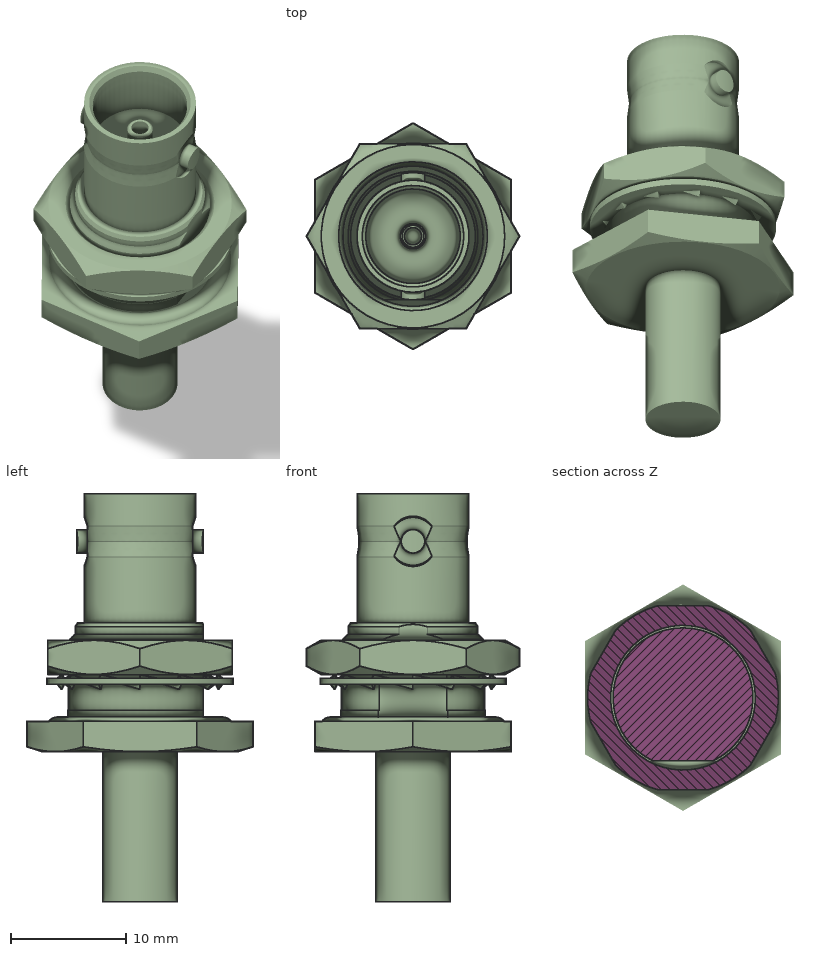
import cadquery as cq
import math

overall_height = 35.4
hex_bottom = 13.0
hex_top = 15.65
seal_ring_top = 16.03
shoulder_top = 16.6
collar_bottom = 23.2
collar_top = 24.18

tube_radius = 3.25
shoulder_radius = 6.27
thread_radius = 6.22
collar_radius = 5.63
barrel_radius = 4.85
thread_flat_offset = 5.49
collar_chamfer_width = 0.22
collar_chamfer_height = 0.33

flange_across_corners = 19.63
flange_chamfer_radius = 8.4
flange_chamfer_angle = 17.5
seal_ring_radius = 7.15
seal_section_radius = 0.93

pin_height = 31.26
pin_radius = 1.02
pin_span = 11.0
groove_half_width = 1.33
groove_depth = 0.17
spot_face_radius = 2.08
spot_face_wall_angle = 20.0
spot_face_offset = 4.56

bore_radius = 4.1
bore_depth = 5.1
bore_chamfer_width = 0.3
bore_chamfer_height = 0.42
contact_radius = 1.1
contact_hole_radius = 0.75
contact_height = 1.95
contact_chamfer = 0.15

nut_across_corners = 18.48
nut_bottom = 19.7
nut_height = 3.0
nut_chamfer_radius = 7.95
nut_chamfer_angle = 30.0
nut_bore_radius = 6.08
nut_bore_chamfer = 0.37

washer_bottom = 18.85
washer_thickness = 0.55
washer_radius = 8.07
washer_bore_radius = 6.4
tooth_count = 12
tooth_peak_radius = 6.8
tooth_inner_radius = 6.55
tooth_outer_radius = 7.15
tooth_sweep_angle = 12.5
tooth_drop = 0.43
tooth_rise = 0.28


def disc(radius, bottom, top):
    """Upright cylinder on the Z axis."""
    return cq.Workplane("XY").workplane(offset=bottom).circle(radius).extrude(top - bottom)


def revolved(profile):
    """Solid of revolution about Z from (radius, height) points."""
    return cq.Workplane("XZ").polyline(profile).close().revolve(360, (0, 0, 0), (0, 1, 0))


def hexagon(across_corners, bottom, height):
    """Hexagonal prism with two corners on the X axis."""
    return cq.Workplane("XY").workplane(offset=bottom).polygon(6, across_corners).extrude(height)


def corner_drop(across_corners, chamfer_radius, chamfer_angle):
    """Height lost at a hexagon corner when its end is chamfered as a cone."""
    return (across_corners / 2 - chamfer_radius) * math.tan(math.radians(chamfer_angle))


def make_flange():
    """Hexagonal flange with chamfered lower corners and a half-sunk seal ring on top."""
    corner = flange_across_corners / 2
    drop = corner_drop(flange_across_corners, flange_chamfer_radius, flange_chamfer_angle)
    envelope = revolved([
        (0, hex_bottom),
        (flange_chamfer_radius, hex_bottom),
        (corner, hex_bottom + drop),
        (corner, hex_top),
        (0, hex_top),
    ])
    prism = hexagon(flange_across_corners, hex_bottom, hex_top - hex_bottom)
    flange = prism.rotate((0, 0, 0), (0, 0, 1), 90).intersect(envelope)
    seal_ring = (
        cq.Workplane("XZ")
        .center(seal_ring_radius, seal_ring_top - seal_section_radius)
        .circle(seal_section_radius)
        .revolve(360, (-seal_ring_radius, 0, 0), (-seal_ring_radius, 1, 0))
    )
    return flange.union(seal_ring)


def make_threaded_neck():
    """Stepped neck that fills the nut bore, with a flat along its -Y side."""
    lead_in = nut_bore_radius - collar_radius
    neck = revolved([
        (0, hex_top),
        (shoulder_radius, hex_top),
        (shoulder_radius, shoulder_top),
        (thread_radius, shoulder_top),
        (thread_radius, nut_bottom),
        (nut_bore_radius, nut_bottom),
        (nut_bore_radius, collar_bottom - lead_in),
        (collar_radius, collar_bottom),
        (collar_radius, collar_top - collar_chamfer_height),
        (collar_radius - collar_chamfer_width, collar_top),
        (0, collar_top),
    ])
    flat_cutter = (
        cq.Workplane("XY")
        .workplane(offset=hex_top)
        .center(0, -thread_flat_offset - thread_radius / 2)
        .rect(2 * shoulder_radius, thread_radius)
        .extrude(collar_top - hex_top)
    )
    return neck.cut(flat_cutter)


def make_bayonet_pins():
    """Two pins along Y, standing on the spot faces, their ends rounded about the Z axis."""
    rounded_ends = disc(pin_span / 2, pin_height - pin_radius, pin_height + pin_radius)
    pin_rod = cq.Workplane("XZ").center(0, pin_height).circle(pin_radius).extrude(pin_span / 2, both=True)
    spot_face_gap = (
        cq.Workplane("XY")
        .workplane(offset=pin_height)
        .box(2 * barrel_radius, 2 * spot_face_offset, 2 * barrel_radius)
    )
    return pin_rod.intersect(rounded_ends).cut(spot_face_gap)


def make_barrel():
    """Bayonet barrel with a V groove, two spot faces and two cross pins."""
    barrel = revolved([
        (0, collar_top),
        (barrel_radius, collar_top),
        (barrel_radius, pin_height - groove_half_width),
        (barrel_radius - groove_depth, pin_height),
        (barrel_radius, pin_height + groove_half_width),
        (barrel_radius, overall_height),
        (0, overall_height),
    ])
    for side in (-1, 1):
        face_plane = cq.Plane(
            origin=(0, side * spot_face_offset, pin_height), xDir=(1, 0, 0), normal=(0, side, 0)
        )
        spot_face_cutter = (
            cq.Workplane(face_plane)
            .circle(spot_face_radius)
            .extrude(barrel_radius - spot_face_offset, taper=-spot_face_wall_angle)
        )
        barrel = barrel.cut(spot_face_cutter)
    return barrel.union(make_bayonet_pins())


def make_bore():
    """Chamfered blind bore, leaving the hollow centre contact standing on its floor."""
    floor = overall_height - bore_depth
    contact_top = floor + contact_height
    return revolved([
        (contact_radius, floor),
        (bore_radius, floor),
        (bore_radius, overall_height - bore_chamfer_height),
        (bore_radius + bore_chamfer_width, overall_height),
        (0, overall_height),
        (0, floor),
        (contact_hole_radius, floor),
        (contact_hole_radius, contact_top),
        (contact_radius - contact_chamfer, contact_top),
        (contact_radius, contact_top - contact_chamfer),
    ])


def make_connector_body():
    body = disc(tube_radius, 0, hex_bottom)
    for section in (make_flange(), make_threaded_neck(), make_barrel()):
        body = body.union(section)
    return body.cut(make_bore())


def make_nut():
    """Hexagonal nut, chamfered at both ends, on the threaded neck."""
    nut_top = nut_bottom + nut_height
    corner = nut_across_corners / 2
    drop = corner_drop(nut_across_corners, nut_chamfer_radius, nut_chamfer_angle)
    mouth_radius = nut_bore_radius + nut_bore_chamfer
    envelope = revolved([
        (mouth_radius, nut_bottom),
        (nut_chamfer_radius, nut_bottom),
        (corner, nut_bottom + drop),
        (corner, nut_top - drop),
        (nut_chamfer_radius, nut_top),
        (mouth_radius, nut_top),
        (nut_bore_radius, nut_top - nut_bore_chamfer),
        (nut_bore_radius, nut_bottom + nut_bore_chamfer),
    ])
    return hexagon(nut_across_corners, nut_bottom, nut_height).intersect(envelope)


def tetrahedron(corners):
    faces = []
    for skipped in corners:
        triangle = [corner for corner in corners if corner is not skipped]
        faces.append(cq.Face.makeFromWires(cq.Wire.makePolygon(triangle, close=True)))
    return cq.Solid.makeSolid(cq.Shell.makeShell(faces))


def make_tooth(height, peak, sweep_angle):
    """Bent tooth corner: a triangular end at angle 0 that fades out over the sweep angle."""
    sweep = math.radians(sweep_angle)
    return tetrahedron([
        cq.Vector(tooth_inner_radius, 0, height),
        cq.Vector(tooth_outer_radius, 0, height),
        cq.Vector(tooth_peak_radius, 0, height + peak),
        cq.Vector(tooth_peak_radius * math.cos(sweep), tooth_peak_radius * math.sin(sweep), height),
    ])


def make_lock_washer():
    """Flat ring whose inner teeth are twisted: one corner bent down, the next one up."""
    washer_top = washer_bottom + washer_thickness
    washer = disc(washer_radius, washer_bottom, washer_top).cut(
        disc(washer_bore_radius, washer_bottom, washer_top)
    )
    lower_tooth = make_tooth(washer_bottom, -tooth_drop, -tooth_sweep_angle)
    upper_tooth = make_tooth(washer_top, tooth_rise, tooth_sweep_angle)
    for index in range(tooth_count):
        angle = index * 360 / tooth_count
        for tooth in (lower_tooth, upper_tooth):
            washer = washer.union(cq.Workplane(tooth.rotate(cq.Vector(), cq.Vector(0, 0, 1), angle)))
    return washer


connector_body = make_connector_body()
nut = make_nut()
lock_washer = make_lock_washer()

result = cq.Compound.makeCompound([
    connector_body.solids().val(),
    nut.solids().val(),
    lock_washer.solids().val(),
])